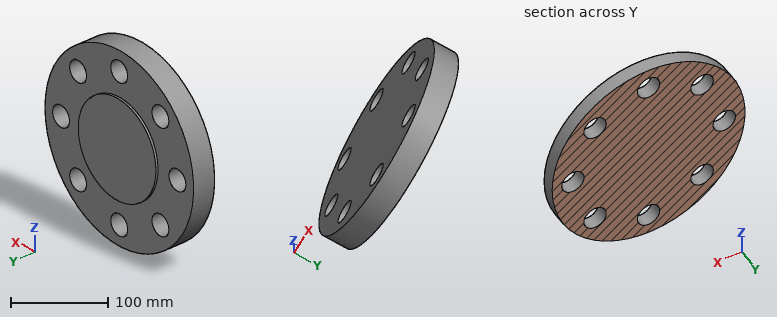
import cadquery as cq

flange_diameter = 230.0
overall_thickness = 32.0
raised_face_diameter = 120.0
raised_face_height = 3.0
bolt_circle_diameter = 180.0
bolt_hole_diameter = 26.0
bolt_hole_count = 8

disc_thickness = overall_thickness - raised_face_height


def cylinder_along_y(diameter, start_y, length):
    """Cylinder centred on the Y axis, running from start_y toward +Y."""
    return (
        cq.Workplane("XZ", origin=(0, start_y, 0))
        .circle(diameter / 2)
        .extrude(-length)
    )


def bolt_holes():
    """Ring of through holes, the first one on the +X axis."""
    return (
        cq.Workplane("XZ")
        .polarArray(bolt_circle_diameter / 2, 0, 360, bolt_hole_count)
        .circle(bolt_hole_diameter / 2)
        .extrude(-disc_thickness)
    )


disc = cylinder_along_y(flange_diameter, 0, disc_thickness)
raised_face = cylinder_along_y(raised_face_diameter, disc_thickness, raised_face_height)

result = disc.union(raised_face).cut(bolt_holes())